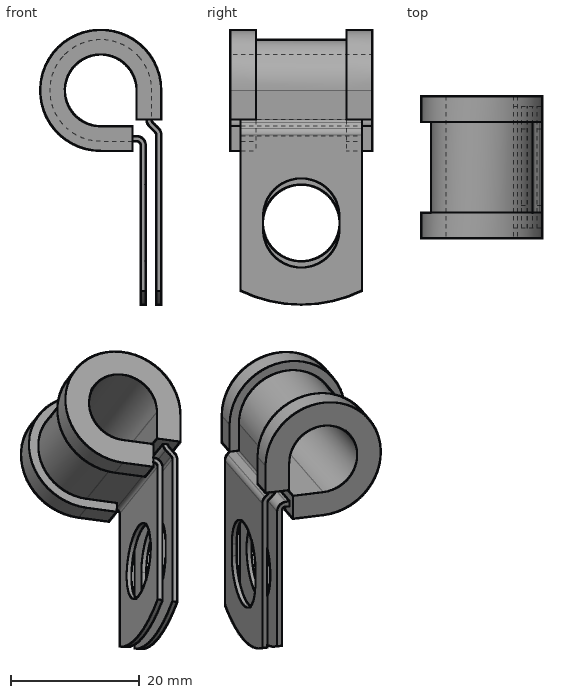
import cadquery as cq
import math


outer_diameter = 18.85
outer_radius = outer_diameter / 2
bore_radius = 5.55
groove_radius = 7.9
cushion_length = 22.1
flange_width = 4.0
groove_width = cushion_length - 2 * flange_width
side_leg_length = 4.55
bottom_leg_length = 4.95

strap_thickness = 0.8
strap_width = 18.9
strap_inner_radius = groove_radius - strap_thickness
bend_inside = 0.65
bend_outside = bend_inside + strap_thickness
jog_angle = math.radians(45)

overall_height = 42.75
tab_bottom = outer_radius - overall_height
end_rise = 2.2
front_tab_outer_x = 7.0
hole_diameter = 11.9
back_slot_length = 13.85
hole_z = -20.6
embed = 0.43


def extrude_centred(outline, width):
    """Close an XZ outline and extrude it symmetrically about Y = 0."""
    return outline.close().extrude(width / 2, both=True)


def cushion_layer(outside, width):
    """Open loop from the bore to the outside radius, with both straight legs."""
    outside_diagonal = outside * math.sqrt(0.5)
    bore_diagonal = bore_radius * math.sqrt(0.5)
    outline = (
        cq.Workplane("XZ")
        .moveTo(outside, -side_leg_length)
        .lineTo(outside, 0)
        .threePointArc((-outside_diagonal, outside_diagonal), (0, -outside))
        .lineTo(bottom_leg_length, -outside)
        .lineTo(bottom_leg_length, -bore_radius)
        .lineTo(0, -bore_radius)
        .threePointArc((-bore_diagonal, bore_diagonal), (bore_radius, 0))
        .lineTo(bore_radius, -side_leg_length)
    )
    return extrude_centred(outline, width)


def on_circle(centre, radius, angle):
    return (centre[0] + radius * math.cos(angle), centre[1] + radius * math.sin(angle))


def front_tab():
    """Strap end leaving the bottom leg and turning straight down."""
    centre = (front_tab_outer_x - bend_outside, -groove_radius - bend_inside)
    root_x = bottom_leg_length - embed
    middle = math.radians(45)
    outline = (
        cq.Workplane("XZ")
        .moveTo(root_x, -strap_inner_radius)
        .lineTo(centre[0], -strap_inner_radius)
        .threePointArc(on_circle(centre, bend_outside, middle), on_circle(centre, bend_outside, 0))
        .lineTo(front_tab_outer_x, tab_bottom)
        .lineTo(front_tab_outer_x - strap_thickness, tab_bottom)
        .lineTo(*on_circle(centre, bend_inside, 0))
        .threePointArc(on_circle(centre, bend_inside, middle), (centre[0], -groove_radius))
        .lineTo(root_x, -groove_radius)
    )
    return extrude_centred(outline, strap_width)


def back_tab():
    """Strap end leaving the side leg and jogging out flush with the cushion."""
    upper = (groove_radius + bend_inside, -side_leg_length)
    lower_x = outer_radius - bend_outside
    across = (bend_inside + bend_outside) * math.cos(jog_angle)
    along = (lower_x - upper[0] + across) / math.sin(jog_angle)
    drop = (bend_inside + bend_outside) * math.sin(jog_angle) + along * math.cos(jog_angle)
    lower = (lower_x, upper[1] - drop)

    upper_end = math.pi + jog_angle
    upper_middle = math.pi + jog_angle / 2
    lower_middle = jog_angle / 2
    root_z = -side_leg_length + embed
    outline = (
        cq.Workplane("XZ")
        .moveTo(groove_radius, root_z)
        .lineTo(groove_radius, upper[1])
        .threePointArc(on_circle(upper, bend_inside, upper_middle), on_circle(upper, bend_inside, upper_end))
        .lineTo(*on_circle(lower, bend_outside, jog_angle))
        .threePointArc(on_circle(lower, bend_outside, lower_middle), on_circle(lower, bend_outside, 0))
        .lineTo(outer_radius, tab_bottom)
        .lineTo(outer_radius - strap_thickness, tab_bottom)
        .lineTo(*on_circle(lower, bend_inside, 0))
        .threePointArc(on_circle(lower, bend_inside, lower_middle), on_circle(lower, bend_inside, jog_angle))
        .lineTo(*on_circle(upper, bend_outside, upper_end))
        .threePointArc(on_circle(upper, bend_outside, upper_middle), on_circle(upper, bend_outside, math.pi))
        .lineTo(strap_inner_radius, root_z)
    )
    return extrude_centred(outline, strap_width)


def tab_face():
    """Tab shape across X: straight sides and rounded lower end."""
    half_width = strap_width / 2
    corner_z = tab_bottom + end_rise
    return (
        cq.Workplane("YZ")
        .moveTo(-half_width, 0)
        .lineTo(-half_width, corner_z)
        .threePointArc((0, tab_bottom), (half_width, corner_z))
        .lineTo(half_width, 0)
        .close()
        .extrude(outer_radius + embed)
    )


hole_plane = cq.Workplane("YZ", origin=(0, 0, hole_z))
front_hole = hole_plane.circle(hole_diameter / 2).extrude(outer_radius + embed)
back_slot = hole_plane.slot2D(back_slot_length, hole_diameter, 90).extrude(outer_radius + embed)
front = front_tab().intersect(tab_face()).cut(front_hole)
back = back_tab().intersect(tab_face()).cut(back_slot)

flanged_cushion = cushion_layer(outer_radius, cushion_length).cut(
    cushion_layer(outer_radius, groove_width)
)
cushion = flanged_cushion.union(cushion_layer(groove_radius, groove_width))
result = cushion.union(front).union(back)